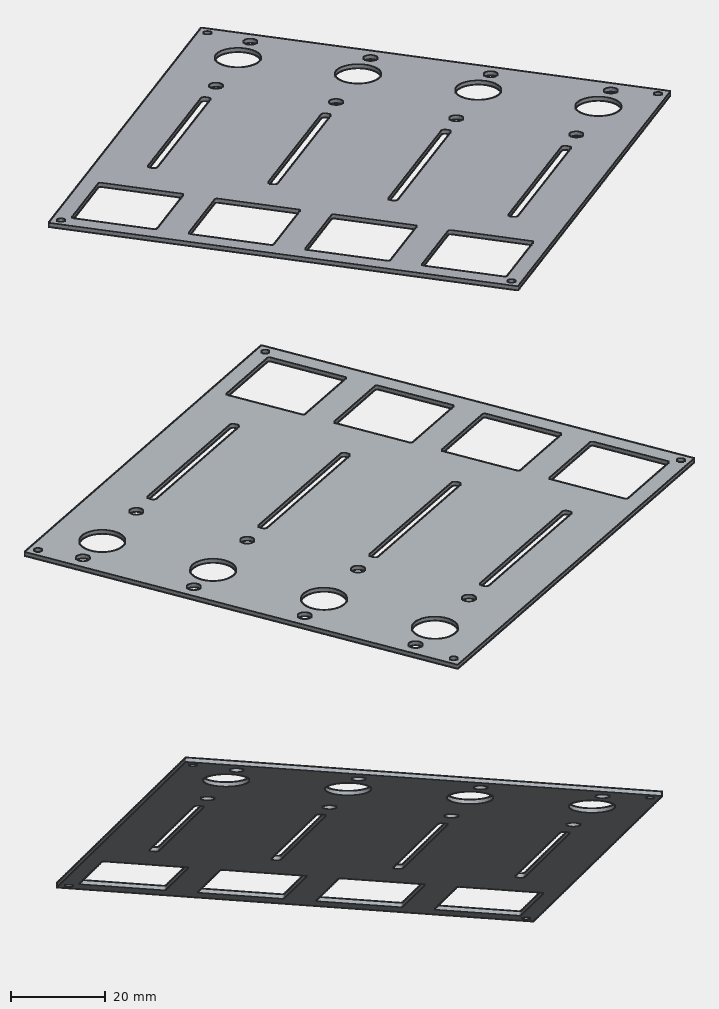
import cadquery as cq

PANEL_SIDE = 104.35
PANEL_THICKNESS = 1.0
PANEL_CORNER_RADIUS = 0.2

MOUNT_DIAMETER = 1.75
MOUNT_SPACING = 100.1

CHANNEL_COUNT = 4
CHANNEL_PITCH = 26.7
LED_DIAMETER = 3.0
UPPER_LED_Y = 48.55
LOWER_LED_Y = 25.05
KNOB_DIAMETER = 9.8
KNOB_Y = 40.05
FADER_WIDTH = 2.1
FADER_LENGTH = 37.7
FADER_CORNER_RADIUS = 0.8
FADER_Y = 0.0

WINDOW_SIDE = 18.9
WINDOW_PITCH = 25.92
WINDOW_CORNER_RADIUS = 0.5
WINDOW_Y = -38.85


def row(pitch, y):
    """Centres of one opening per channel, spread evenly about X = 0."""
    middle = (CHANNEL_COUNT - 1) / 2
    return [((i - middle) * pitch, y) for i in range(CHANNEL_COUNT)]


def round_cutter(diameter, centres):
    """Round pins through the panel thickness."""
    return cq.Workplane("XY").pushPoints(centres).circle(diameter / 2).extrude(PANEL_THICKNESS)


def rectangular_cutter(width, length, corner_radius, centres):
    """Rectangular blocks with rounded corners through the panel thickness."""
    blocks = cq.Workplane("XY").pushPoints(centres).rect(width, length).extrude(PANEL_THICKNESS)
    return blocks.edges("|Z").fillet(corner_radius)


half_mount = MOUNT_SPACING / 2
mount_centres = [(x, y) for x in (-half_mount, half_mount) for y in (-half_mount, half_mount)]
led_centres = row(CHANNEL_PITCH, UPPER_LED_Y) + row(CHANNEL_PITCH, LOWER_LED_Y)
knob_centres = row(CHANNEL_PITCH, KNOB_Y)
fader_centres = row(CHANNEL_PITCH, FADER_Y)
window_centres = row(WINDOW_PITCH, WINDOW_Y)

panel = cq.Workplane("XY").rect(PANEL_SIDE, PANEL_SIDE).extrude(PANEL_THICKNESS)
panel = panel.edges("|Z").fillet(PANEL_CORNER_RADIUS)
panel = panel.cut(round_cutter(MOUNT_DIAMETER, mount_centres))
panel = panel.cut(round_cutter(LED_DIAMETER, led_centres))
panel = panel.cut(round_cutter(KNOB_DIAMETER, knob_centres))
panel = panel.cut(rectangular_cutter(FADER_WIDTH, FADER_LENGTH, FADER_CORNER_RADIUS, fader_centres))
panel = panel.cut(rectangular_cutter(WINDOW_SIDE, WINDOW_SIDE, WINDOW_CORNER_RADIUS, window_centres))

result = panel